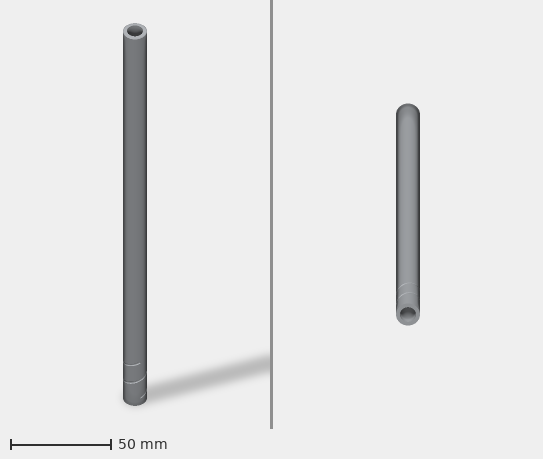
import cadquery as cq

tube_length = 250.0
outer_diameter = 12.0
bore_diameter = 8.0
rim_chamfer = 0.3

groove_pitch = 12.0
groove_turns = 2
groove_depth = 0.5
groove_section_radius = 0.75
groove_start_height = 5.0

outer_radius = outer_diameter / 2
groove_height = groove_pitch * groove_turns
section_center_radius = outer_radius - groove_depth + groove_section_radius
seam_rotation = 180


def make_tube():
    """Round tube standing on the XY plane, with its upper outer rim chamfered."""
    rod = (
        cq.Workplane("XY")
        .circle(outer_radius)
        .extrude(tube_length)
        .faces(">Z")
        .chamfer(rim_chamfer)
        .rotate((0, 0, 0), (0, 0, 1), seam_rotation)
    )
    bore = cq.Workplane("XY").circle(bore_diameter / 2).extrude(tube_length)
    return rod.cut(bore)


def make_groove_cutter():
    """Round section swept along a right-handed helix that starts on the +X side."""
    helix = cq.Wire.makeHelix(groove_pitch, groove_height, outer_radius)
    helix = helix.translate(cq.Vector(0, 0, groove_start_height))
    return (
        cq.Workplane("XZ")
        .center(section_center_radius, groove_start_height)
        .circle(groove_section_radius)
        .sweep(cq.Workplane(obj=helix), isFrenet=True)
    )


result = make_tube().cut(make_groove_cutter())